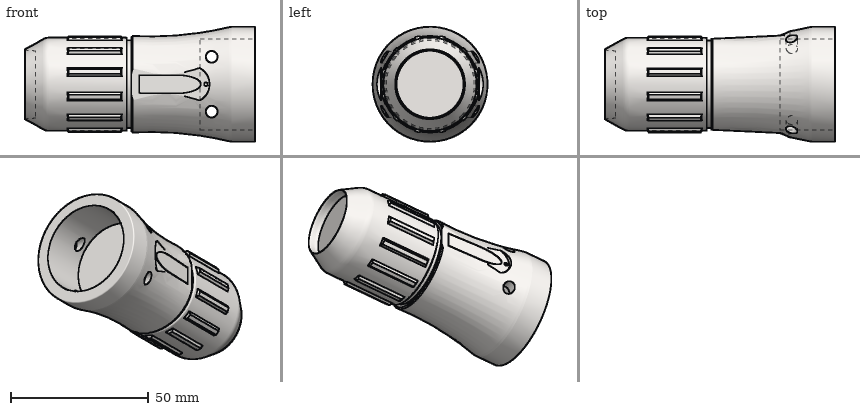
import cadquery as cq
import math

TOTAL_LENGTH = 84.0

NOSE_RADIUS = 12.8
COLLAR_RADIUS = 17.05
NOSE_LENGTH = 7.7
NOSE_BLEND_RADIUS = 4.5
COLLAR_END_X = 37.2
COLLAR_END_FILLET = 0.5

SOCKET_MOUTH_RADIUS = 12.6
SOCKET_WALL_RADIUS = 12.4
SOCKET_FLOOR_RADIUS = 12.2
SOCKET_MOUTH_DEPTH = 0.9
SOCKET_WALL_DEPTH = 2.4
SOCKET_DEPTH = 3.8

RIB_COUNT = 12
RIB_START_X = 15.4
RIB_LENGTH = 20.25
RIB_BASE_WIDTH = 3.7
RIB_TOP_WIDTH = 1.7
RIB_TOP_RADIUS = 18.0
RIB_ROOT_RADIUS = 16.6
RIB_END_TAPER = 0.7

NECK_RADIUS = 16.05
BODY_START_X = 38.9
BODY_START_RADIUS = 17.6
BODY_START_CHAMFER = 0.5
FLARE_MIDDLE_X = 62.9
FLARE_MIDDLE_RADIUS = 18.65
FLARE_END_X = 74.4
FLARE_END_RADIUS = 20.8
RIM_START_X = 75.4
RIM_RADIUS = 21.0
RIM_FILLET = 0.4

BORE_RADIUS = 16.55
BORE_START_X = 63.8

CROSS_HOLE_DIAMETER = 4.2
CROSS_HOLE_X = 68.1
CROSS_HOLE_Z = 10.0

FLAT_START_OFFSET = 16.6
FLAT_SLOPE = math.radians(2.7)
FLAT_END_X = 67.4
FLAT_END_RADIUS = 6.6

PANEL_START_X = 41.75
PANEL_TIP_X = 64.2
PANEL_START_HALF_WIDTH = 3.2
PANEL_HALF_WIDTH = 3.4
PANEL_CURVE_START_X = 55.3
PANEL_DEPTH = 0.2
DOT_X = 66.0
DOT_DIAMETER = 1.35


def make_shell():
    """Turn the outer profile about the X axis."""
    nose_angle = math.atan2(COLLAR_RADIUS - NOSE_RADIUS, NOSE_LENGTH)
    blend_setback = NOSE_BLEND_RADIUS * math.tan(nose_angle / 2)
    blend_start = (
        NOSE_LENGTH - blend_setback * math.cos(nose_angle),
        COLLAR_RADIUS - blend_setback * math.sin(nose_angle),
    )
    blend_end = (NOSE_LENGTH + blend_setback, COLLAR_RADIUS)
    fillet_start = (COLLAR_END_X - COLLAR_END_FILLET, COLLAR_RADIUS)
    fillet_end = (COLLAR_END_X, COLLAR_RADIUS - COLLAR_END_FILLET)
    rim_fillet_start = (TOTAL_LENGTH - RIM_FILLET, RIM_RADIUS)
    rim_fillet_end = (TOTAL_LENGTH, RIM_RADIUS - RIM_FILLET)
    profile = (
        cq.Workplane("XY")
        .moveTo(0, 0)
        .lineTo(0, NOSE_RADIUS)
        .lineTo(*blend_start)
        .radiusArc(blend_end, NOSE_BLEND_RADIUS)
        .lineTo(*fillet_start)
        .radiusArc(fillet_end, COLLAR_END_FILLET)
        .lineTo(COLLAR_END_X, NECK_RADIUS)
        .lineTo(BODY_START_X, NECK_RADIUS)
        .lineTo(BODY_START_X, BODY_START_RADIUS - BODY_START_CHAMFER)
        .lineTo(BODY_START_X + BODY_START_CHAMFER, BODY_START_RADIUS)
        .threePointArc((FLARE_MIDDLE_X, FLARE_MIDDLE_RADIUS), (FLARE_END_X, FLARE_END_RADIUS))
        .lineTo(RIM_START_X, RIM_RADIUS)
        .lineTo(*rim_fillet_start)
        .radiusArc(rim_fillet_end, RIM_FILLET)
        .lineTo(TOTAL_LENGTH, 0)
        .close()
    )
    return profile.revolve(360, (0, 0, 0), (1, 0, 0))


def cut_socket(part):
    """Sink the nose socket: a tapered mouth, a straight wall and a taper to the floor."""
    socket = (
        cq.Workplane("XY")
        .polyline([
            (0, 0),
            (0, SOCKET_MOUTH_RADIUS),
            (SOCKET_MOUTH_DEPTH, SOCKET_WALL_RADIUS),
            (SOCKET_WALL_DEPTH, SOCKET_WALL_RADIUS),
            (SOCKET_DEPTH, SOCKET_FLOOR_RADIUS),
            (SOCKET_DEPTH, 0),
        ])
        .close()
        .revolve(360, (0, 0, 0), (1, 0, 0))
    )
    return part.cut(socket)


def cut_bore(part):
    bore_length = TOTAL_LENGTH - BORE_START_X
    bore = cq.Workplane("YZ", origin=(BORE_START_X, 0, 0)).circle(BORE_RADIUS).extrude(bore_length)
    return part.cut(bore)


def add_ribs(part):
    """Spread tapered ribs evenly round the collar, half a pitch off the Y and Z axes."""
    pitch = 360 / RIB_COUNT
    rib = (
        cq.Workplane("XY", origin=(RIB_START_X + RIB_LENGTH / 2, 0, RIB_ROOT_RADIUS))
        .rect(RIB_LENGTH, RIB_BASE_WIDTH)
        .workplane(offset=RIB_TOP_RADIUS - RIB_ROOT_RADIUS)
        .rect(RIB_LENGTH - 2 * RIB_END_TAPER, RIB_TOP_WIDTH)
        .loft(ruled=True)
    )
    for index in range(RIB_COUNT):
        part = part.union(rib.rotate((0, 0, 0), (1, 0, 0), (index + 0.5) * pitch))
    return part


def side_pocket(plan, depth):
    """Keep the part of a plan prism lying outside the -Y flat lowered by depth."""
    run = TOTAL_LENGTH - BODY_START_X
    start_y = depth - FLAT_START_OFFSET
    end_y = start_y - run * math.tan(FLAT_SLOPE)
    outside_y = -2 * RIM_RADIUS
    outside = (
        cq.Workplane("XY")
        .polyline([
            (BODY_START_X, start_y),
            (TOTAL_LENGTH, end_y),
            (TOTAL_LENGTH, outside_y),
            (BODY_START_X, outside_y),
        ])
        .close()
        .extrude(RIM_RADIUS, both=True)
    )
    return plan.intersect(outside)


def plan_plane(center_x=0):
    """XZ work plane at the given X, with its normal along -Y."""
    return cq.Workplane("XZ", origin=(center_x, 0, 0))


def cut_flats(part):
    """Cut the flat, its name panel and its dot on the -Y and +Y sides."""
    reach = 2 * RIM_RADIUS
    end_center_x = FLAT_END_X - FLAT_END_RADIUS
    flat_plan = (
        plan_plane()
        .moveTo(BODY_START_X, -FLAT_END_RADIUS)
        .lineTo(end_center_x, -FLAT_END_RADIUS)
        .threePointArc((FLAT_END_X, 0), (end_center_x, FLAT_END_RADIUS))
        .lineTo(BODY_START_X, FLAT_END_RADIUS)
        .close()
        .extrude(reach)
    )
    panel_straight = (
        plan_plane()
        .polyline([
            (PANEL_START_X, -PANEL_START_HALF_WIDTH),
            (PANEL_CURVE_START_X, -PANEL_HALF_WIDTH),
            (PANEL_CURVE_START_X, PANEL_HALF_WIDTH),
            (PANEL_START_X, PANEL_START_HALF_WIDTH),
        ])
        .close()
        .extrude(reach)
    )
    panel_tip = (
        plan_plane(PANEL_CURVE_START_X)
        .ellipse(PANEL_TIP_X - PANEL_CURVE_START_X, PANEL_HALF_WIDTH)
        .extrude(reach)
    )
    dot_plan = plan_plane(DOT_X).circle(DOT_DIAMETER / 2).extrude(reach)
    pockets = [
        side_pocket(flat_plan, 0),
        side_pocket(panel_straight.union(panel_tip), PANEL_DEPTH),
        side_pocket(dot_plan, PANEL_DEPTH),
    ]
    for pocket in pockets:
        part = part.cut(pocket).cut(pocket.mirror("XZ"))
    return part


def cut_cross_holes(part):
    holes = (
        plan_plane(CROSS_HOLE_X)
        .pushPoints([(0, CROSS_HOLE_Z), (0, -CROSS_HOLE_Z)])
        .circle(CROSS_HOLE_DIAMETER / 2)
        .extrude(RIM_RADIUS, both=True)
    )
    return part.cut(holes)


result = add_ribs(make_shell())
result = cut_socket(result)
result = cut_bore(result)
result = cut_flats(result)
result = cut_cross_holes(result)